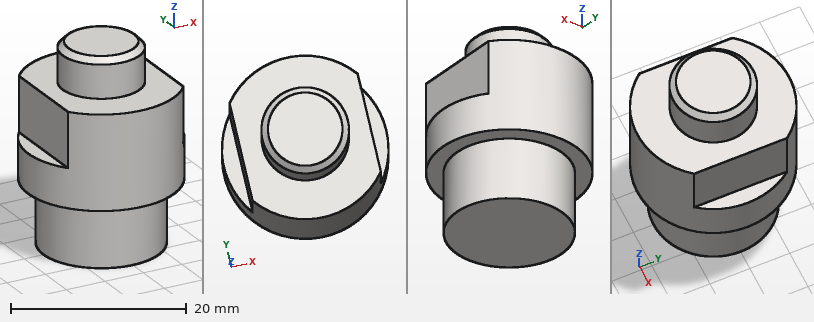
import cadquery as cq

shank_diameter = 15.0
shank_height = 8.0

collar_diameter = 19.0
rim_height = 5.0
flat_height = 7.0
across_flats = 15.0
collar_height = rim_height + flat_height

pin_diameter = 10.0
pin_height = 5.0
pin_chamfer = 0.75

collar_base = shank_height
flat_base = collar_base + rim_height
pin_base = collar_base + collar_height


def cylinder(diameter, height, base):
    """Solid cylinder on the Z axis, standing at the given level."""
    return cq.Workplane("XY").workplane(offset=base).circle(diameter / 2).extrude(height)


def make_collar():
    """Round collar whose upper part is cut flat on the -X and +X sides."""
    rim = cylinder(collar_diameter, rim_height, collar_base)
    slab = (
        cq.Workplane("XY")
        .workplane(offset=flat_base)
        .rect(across_flats, collar_diameter)
        .extrude(flat_height)
    )
    flatted = cylinder(collar_diameter, flat_height, flat_base).intersect(slab)
    return rim.union(flatted)


def make_pin():
    """Pin with a chamfered top edge."""
    return cylinder(pin_diameter, pin_height, pin_base).faces(">Z").chamfer(pin_chamfer)


shank = cylinder(shank_diameter, shank_height, 0)
result = shank.union(make_collar()).union(make_pin())